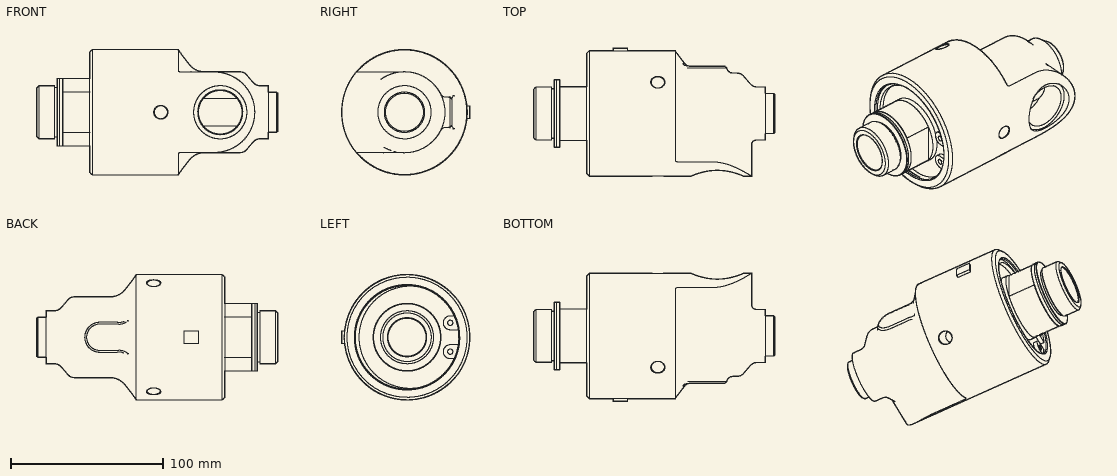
import cadquery as cq
import math


flange_start = 13.3
lip_end = 14.9
flange_end = 17.4
housing_start = 34.8
flat_end = 36.0
ring_front = 36.8
recess_floor = 39.5
shoulder_end = 93.2
cone_end = 100.3
neck_start = 110.2
flare_start = 133.6
flare_end = 146.95
collar_end = 152.4
overall_length = 158.59

housing_radius = 82.6 / 2
shaft_radius = 44.5 / 2
land_radius = 44.65 / 2
thread_radius = 34.9 / 2
undercut_radius = 32.8 / 2
bore_radius = 25 / 2
recess_radius = 68.1 / 2
neck_radius = 26.65
collar_radius = 35 / 2
spigot_radius = 26.6 / 2

thread_chamfer = 1.5
undercut_width = 1.5
flange_edge_chamfer = 0.3
wrench_flat_width = 35.5

bore_mouth_chamfer = 0.4
bore_end = shoulder_end

housing_chamfer = 1.8
recess_chamfer = 0.65
spigot_chamfer = 0.8

cone_angle = math.radians(53)
flare_angle = math.radians(48)
flare_blend_radius = 6.0

blank_radius = 60.0
blank_half_depth = 45.0

arm_center_x = 117.0
arm_radius = 26.4
arm_blend = 2.5

port_x = 120.7
port_radius = 28.57 / 2
port_mouth_radius = 29.6 / 2
spotface_radius = 35 / 2
port_core_radius = 20.6
port_core_half_width = 8.9
spotface_floor = 36.4

drain_x = 81.65
drain_radius = 8.6 / 2
drain_mouth_radius = 9.4 / 2
drain_count = 3

pad_height = 31.2
pad_start_center = 106.4
pad_end_center = arm_center_x
pad_radius = 9.9
pad_chamfer = 1.2
pad_blend = 4.0

plate_start = 52.3
plate_length = 9.5
plate_width = 8.3
plate_height = 1.7

ring_inner_radius = 33.6
ring_offset = 2.06
ear_y = -28.4
ear_z = 9.5
ear_radius = 4.6
ear_hole_radius = 3.44 / 2


def x_cylinder(start, end, radius):
    """Cylinder on the main axis between two stations."""
    return cq.Workplane("YZ").workplane(offset=start).circle(radius).extrude(end - start)


def radial_cylinder(x, radius, inner, outer):
    """Cylinder pointing to -Y, between two distances from the main axis."""
    plane = cq.Plane(origin=(x, -inner, 0), xDir=(1, 0, 0), normal=(0, -1, 0))
    return cq.Workplane(plane).circle(radius).extrude(outer - inner)


def radial_cone(x, inner, inner_radius, outer, outer_radius):
    """Cone pointing to -Y, between two distances from the main axis."""
    cone = cq.Solid.makeCone(
        inner_radius, outer_radius, outer - inner, pnt=cq.Vector(x, -inner, 0), dir=cq.Vector(0, -1, 0)
    )
    return cq.Workplane(obj=cone)


def make_stub():
    """Threaded end, undercut, lipped flange, and shaft with two wrench flats and a round land."""
    stub = x_cylinder(0, flange_start, thread_radius).faces("<X").chamfer(thread_chamfer)
    undercut_start = flange_start - undercut_width
    undercut = x_cylinder(undercut_start, flange_start, thread_radius)
    undercut = undercut.cut(x_cylinder(undercut_start, flange_start, undercut_radius))
    flange = x_cylinder(lip_end, flange_end, shaft_radius).faces(">X").chamfer(flange_edge_chamfer)
    lip = x_cylinder(flange_start, lip_end, land_radius).faces("<X").chamfer(flange_edge_chamfer)
    shaft = x_cylinder(flange_end, flat_end, shaft_radius)
    land = x_cylinder(flat_end, recess_floor, land_radius)
    across_flats = cq.Workplane("XY").box(2 * overall_length, wrench_flat_width, 2 * housing_radius)
    shaft = shaft.intersect(across_flats)
    return stub.cut(undercut).union(lip).union(flange).union(shaft).union(land)


def make_neck_blank():
    """Revolved neck: cone with a curved foot, straight neck and S-shaped flare down to the collar.

    The cone runs on past the housing radius, so that the arm and pad blends can be cut off there.
    """
    foot_radius = (neck_start - cone_end) / math.sin(cone_angle)
    foot_top = neck_radius + foot_radius * (1 - math.cos(cone_angle))
    foot_middle = (
        neck_start - foot_radius * math.sin(cone_angle / 2),
        neck_radius + foot_radius * (1 - math.cos(cone_angle / 2)),
    )
    cone_start = cone_end - (blank_radius - foot_top) / math.tan(cone_angle)

    bend_length = flare_blend_radius * math.sin(flare_angle)
    bend_drop = flare_blend_radius * (1 - math.cos(flare_angle))
    bend_middle_length = flare_blend_radius * math.sin(flare_angle / 2)
    bend_middle_drop = flare_blend_radius * (1 - math.cos(flare_angle / 2))
    profile = (
        cq.Workplane("XY")
        .moveTo(cone_start, 0)
        .lineTo(cone_start, blank_radius)
        .lineTo(cone_end, foot_top)
        .threePointArc(foot_middle, (neck_start, neck_radius))
        .lineTo(flare_start, neck_radius)
        .threePointArc(
            (flare_start + bend_middle_length, neck_radius - bend_middle_drop),
            (flare_start + bend_length, neck_radius - bend_drop),
        )
        .lineTo(flare_end - bend_length, collar_radius + bend_drop)
        .threePointArc(
            (flare_end - bend_middle_length, collar_radius + bend_middle_drop), (flare_end, collar_radius)
        )
        .lineTo(collar_end, collar_radius)
        .lineTo(collar_end, 0)
        .close()
    )
    return profile.revolve(360, (0, 0, 0), (1, 0, 0))


def add_arm(neck):
    """Round-ended arm on the -Y side, a little narrower than the neck, with a blended root."""
    arm = (
        cq.Workplane("XZ")
        .moveTo(shoulder_end, arm_radius)
        .lineTo(arm_center_x, arm_radius)
        .threePointArc((arm_center_x + arm_radius, 0), (arm_center_x, -arm_radius))
        .lineTo(shoulder_end, -arm_radius)
        .close()
        .extrude(blank_half_depth)
    )
    return blend_root(neck, arm, arm_blend)


def add_pad(neck):
    """Flat-topped oblong pad on the +Y side, running out of the cone, with a blended root."""
    pad_length = pad_end_center - pad_start_center + 2 * pad_radius
    pad = (
        cq.Workplane("XZ")
        .center((pad_start_center + pad_end_center) / 2, 0)
        .slot2D(pad_length, 2 * pad_radius)
        .extrude(-pad_height)
    )
    blended = blend_root(neck, pad, pad_blend)
    top = blended.faces(cq.selectors.NearestToPointSelector((pad_end_center, pad_height, 0)))
    return top.edges("%LINE or %CIRCLE").chamfer(pad_chamfer)


def blend_root(neck, branch, radius):
    """Join a branch to the neck and fillet the edges along which their surfaces cross."""
    joined = neck.union(branch)
    root = [edge for edge in joined.edges().vals() if is_on_both(edge, neck, branch)]
    return joined.newObject(root).fillet(radius)


def is_on_both(edge, neck, branch):
    """Whether the middle of an edge lies on the surfaces of both the neck and the branch."""
    tolerance = 0.001
    middle = cq.Vertex.makeVertex(*edge.positionAt(0.5).toTuple())
    shells = (neck.val().Shells()[0], branch.val().Shells()[0])
    return all(middle.distance(shell) < tolerance for shell in shells)


def make_housing():
    """Drum and neck with arm and pad, turned to one radius, and the spigot at the far end."""
    drum = x_cylinder(housing_start, shoulder_end, housing_radius).faces("<X").chamfer(housing_chamfer)
    slab = cq.Workplane("XY").box(2 * overall_length, 2 * blank_half_depth, 2 * blank_radius)
    neck = add_pad(add_arm(make_neck_blank().intersect(slab)))
    neck = neck.intersect(x_cylinder(shoulder_end, overall_length, housing_radius))
    spigot = x_cylinder(collar_end, overall_length, spigot_radius).faces(">X").chamfer(spigot_chamfer)
    return drum.union(neck).union(spigot)


def make_plate():
    """Plain raised plate on the +Y side of the drum."""
    rooted_height = housing_radius + plate_height - recess_radius
    return (
        cq.Workplane("XY")
        .box(plate_length, rooted_height, plate_width, centered=(False, False, True))
        .translate((plate_start, recess_radius, 0))
    )


def cut_recess(housing):
    """Round recess in the drum face, with a chamfered mouth."""
    recess = x_cylinder(housing_start, recess_floor, recess_radius)
    mouth = cq.Solid.makeCone(
        recess_radius + recess_chamfer,
        recess_radius,
        recess_chamfer,
        pnt=cq.Vector(housing_start, 0, 0),
        dir=cq.Vector(1, 0, 0),
    )
    return housing.cut(recess).cut(cq.Workplane(obj=mouth))


def make_retaining_ring():
    """Ring that narrows towards its gap at -Y, with a drilled ear on each side of the gap."""
    depth = recess_floor - ring_front
    plane = cq.Workplane("YZ").workplane(offset=ring_front)
    outer = plane.circle(recess_radius).extrude(depth)
    ring = outer.cut(plane.center(-ring_offset, 0).circle(ring_inner_radius).extrude(depth))
    for side in (1, -1):
        ear = plane.center(ear_y, side * ear_z).circle(ear_radius).extrude(depth)
        root = (
            plane.center(ear_y - ear_radius, side * ear_z)
            .rect(2 * ear_radius, 2 * ear_radius)
            .extrude(depth)
        )
        ring = ring.union(ear.union(root).intersect(outer))
    for side in (1, -1):
        ring = ring.cut(plane.center(ear_y, side * ear_z).circle(ear_hole_radius).extrude(depth))
    return ring


def cut_port(body):
    """Side port on the arm: spotface and tapered hole, with a round core rising from its floor."""
    port_floor = math.sqrt(port_core_radius**2 - port_core_half_width**2)
    body = body.cut(radial_cylinder(port_x, spotface_radius, spotface_floor, 2 * housing_radius))
    hole = radial_cone(port_x, port_floor, port_radius, spotface_floor, port_mouth_radius)
    core = x_cylinder(shoulder_end, collar_end, port_core_radius)
    return body.cut(hole.cut(core))


def cut_drains(body):
    """Drain holes through the drum wall, ending on the shaft."""
    shaft = x_cylinder(housing_start, shoulder_end, shaft_radius)
    drain = radial_cylinder(drain_x, drain_radius, shaft_radius - drain_radius, 2 * housing_radius)
    mouth_depth = drain_mouth_radius - drain_radius
    mouth = radial_cone(
        drain_x, housing_radius - mouth_depth, drain_radius, housing_radius, drain_mouth_radius
    )
    drain = drain.union(mouth).cut(shaft)
    for index in range(drain_count):
        angle = 360 * index / drain_count
        body = body.cut(drain.rotate((0, 0, 0), (1, 0, 0), angle))
    return body


def cut_bore(body):
    """Main bore, open at the threaded end and closed before the side port."""
    mouth = cq.Solid.makeCone(
        bore_radius + bore_mouth_chamfer,
        bore_radius,
        bore_mouth_chamfer,
        dir=cq.Vector(1, 0, 0),
    )
    return body.cut(x_cylinder(0, bore_end, bore_radius)).cut(cq.Workplane(obj=mouth))


body = cut_recess(make_housing()).union(make_retaining_ring())
body = body.union(make_stub()).union(make_plate())
result = cut_bore(cut_drains(cut_port(body)))